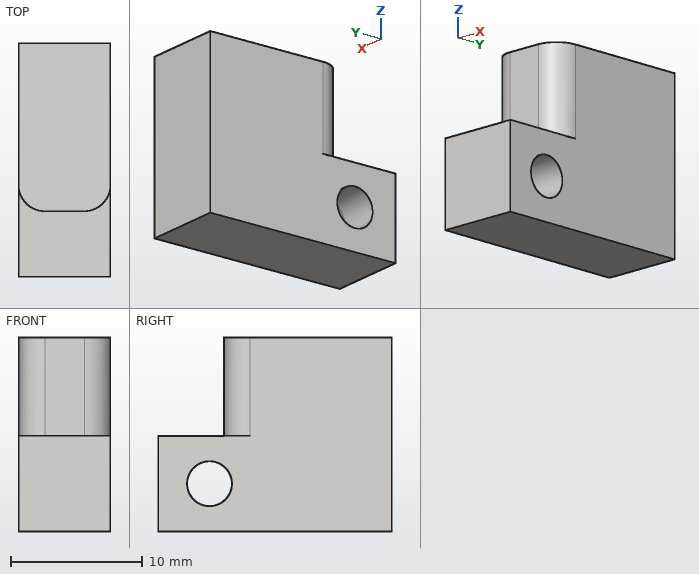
import cadquery as cq

width = 7.0
length = 17.8
height = 14.8

foot_length = 5.0
foot_height = 7.3

corner_radius = 2.0

hole_diameter = 3.4
hole_from_front = 3.92
hole_height = foot_height / 2

base = cq.Workplane("XY").box(width, length, foot_height, centered=(True, False, False))

body_length = length - foot_length
body = (
    cq.Workplane("XY")
    .box(width, body_length, height - foot_height, centered=(True, False, False))
    .edges("|Z and <Y")
    .fillet(corner_radius)
    .translate((0, foot_length, foot_height))
)

hole = (
    cq.Workplane("YZ")
    .center(hole_from_front, hole_height)
    .circle(hole_diameter / 2)
    .extrude(width / 2, both=True)
)

result = base.union(body).cut(hole)